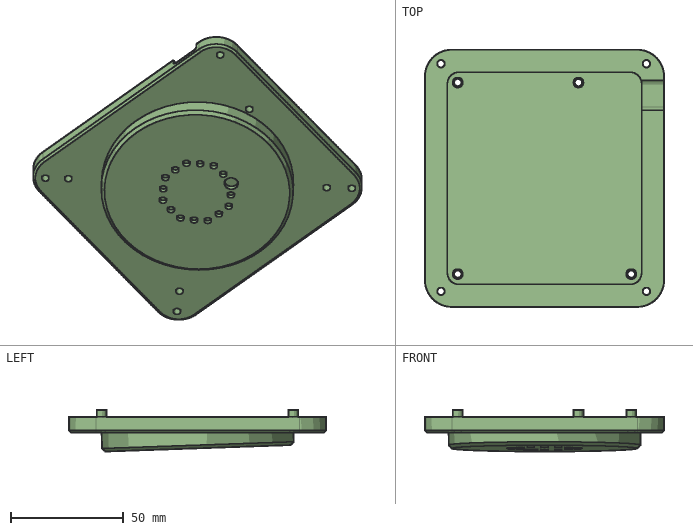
import cadquery as cq
import math

LENGTH_X = 106.0
LENGTH_Y = 114.0
TOTAL_HEIGHT = 18.5
PLATE_THICKNESS = 7.0
CORNER_RADIUS = 12.0
BOTTOM_CHAMFER = 1.0

WALL = 10.0
POCKET_DEPTH = 4.0
POCKET_CORNER_RADIUS = 5.0
pocket_x = LENGTH_X - 2 * WALL
pocket_y = LENGTH_Y - 2 * WALL
floor_z = PLATE_THICKNESS - POCKET_DEPTH

BORE_DIAMETER = 3.2

SCREW_X = 45.5
SCREW_Y = 50.4
SCREW_SHIFT_X = -0.3
SCREW_SHIFT_Y = 0.3

STANDOFF_DIAMETER = 4.5
STANDOFF_PROTRUSION = 3.1
STANDOFF_X = 38.4
STANDOFF_Y = 42.4
INNER_STANDOFF_X = 15.0
standoff_top = PLATE_THICKNESS + STANDOFF_PROTRUSION
standoff_points = [
    (-STANDOFF_X, STANDOFF_Y),
    (INNER_STANDOFF_X, STANDOFF_Y),
    (-STANDOFF_X, -STANDOFF_Y),
    (STANDOFF_X, -STANDOFF_Y),
]

CHANNEL_Y_MIN = 30.2
CHANNEL_Y_MAX = 43.4
CHANNEL_DEPTH = 3.8
CHANNEL_ROUND = 1.5

FOOT_DIAMETER = 85.0
FOOT_TILT = 2.0
FOOT_CHAMFER = 1.5
foot_drop = TOTAL_HEIGHT - standoff_top
foot_rim_drop = (FOOT_DIAMETER / 2 - FOOT_CHAMFER) * math.sin(math.radians(FOOT_TILT))
foot_height = (foot_drop - foot_rim_drop) / math.cos(math.radians(FOOT_TILT))

RING_HOLES = 8
RING_HOLE_DEPTH = 2.3
INNER_RING_RADIUS = 15.0
OUTER_RING_RADIUS = 15.8
LARGE_HOLE_DIAMETER = 6.0
LARGE_HOLE_STEP = 2
ring_step = 360 / RING_HOLES
outer_ring_start = ring_step / 2
large_hole_angle = outer_ring_start + LARGE_HOLE_STEP * ring_step


def make_plate():
    plate = cq.Workplane("XY").rect(LENGTH_X, LENGTH_Y).extrude(PLATE_THICKNESS)
    plate = plate.edges("|Z").fillet(CORNER_RADIUS)
    return plate.faces("<Z").chamfer(BOTTOM_CHAMFER)


def make_pocket():
    pocket = cq.Workplane("XY").workplane(offset=floor_z).rect(pocket_x, pocket_y).extrude(POCKET_DEPTH)
    return pocket.edges("|Z").fillet(POCKET_CORNER_RADIUS)


def make_channel():
    channel = cq.Workplane("XY").box(
        WALL,
        CHANNEL_Y_MAX - CHANNEL_Y_MIN,
        CHANNEL_DEPTH,
        centered=False,
    )
    channel = channel.edges("|X and <Z").fillet(CHANNEL_ROUND)
    return channel.translate((pocket_x / 2, CHANNEL_Y_MIN, PLATE_THICKNESS - CHANNEL_DEPTH))


def ring_of_holes(radius, start_angle, count, diameter):
    bottom = cq.Workplane("XY").workplane(offset=-foot_height)
    return bottom.polarArray(radius, start_angle, 360, count).circle(diameter / 2).extrude(RING_HOLE_DEPTH)


def make_foot():
    foot = cq.Workplane("XY").workplane(offset=-foot_height)
    foot = foot.circle(FOOT_DIAMETER / 2).extrude(foot_height + floor_z)
    foot = foot.faces("<Z").chamfer(FOOT_CHAMFER)
    foot = foot.cut(ring_of_holes(INNER_RING_RADIUS, 0, RING_HOLES, BORE_DIAMETER))
    foot = foot.cut(ring_of_holes(OUTER_RING_RADIUS, outer_ring_start, RING_HOLES, BORE_DIAMETER))
    foot = foot.cut(ring_of_holes(OUTER_RING_RADIUS, large_hole_angle, 1, LARGE_HOLE_DIAMETER))
    return foot.rotate((0, 0, 0), (1, 0, 0), -FOOT_TILT)


def standoff_cylinders(diameter):
    return cq.Workplane("XY").pushPoints(standoff_points).circle(diameter / 2).extrude(standoff_top)


def make_screw_holes():
    corners = cq.Workplane("XY").center(SCREW_SHIFT_X, SCREW_SHIFT_Y)
    corners = corners.rect(2 * SCREW_X, 2 * SCREW_Y, forConstruction=True).vertices()
    return corners.circle(BORE_DIAMETER / 2).extrude(PLATE_THICKNESS)


body = make_plate().union(make_foot())
body = body.cut(make_pocket()).cut(make_channel())
body = body.union(standoff_cylinders(STANDOFF_DIAMETER))
result = body.cut(standoff_cylinders(BORE_DIAMETER)).cut(make_screw_holes())